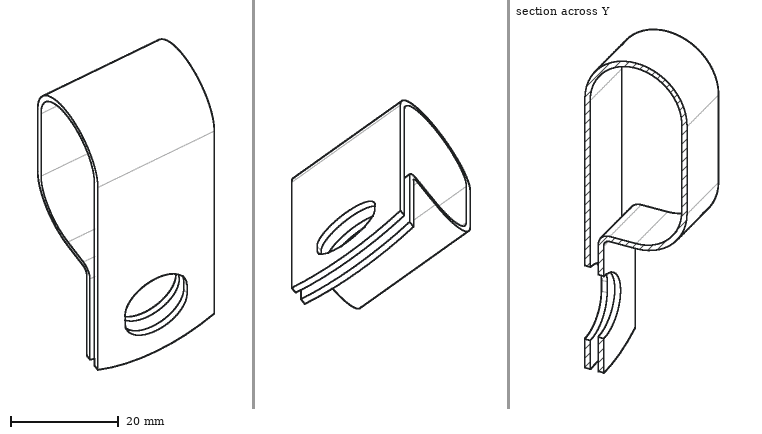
import cadquery as cq
import math

thickness = 1.22
strap_width = 25.4

loop_inner_width = 19.05
loop_straight = 19.05
overall_height = 69.47

leg_gap = 1.6
bend_inner_radius = 1.2
hole_diameter = 13.5
slot_length = 15.88
hole_to_tip = 14.3
tip_sagitta = 2.95

lower_arc_mid_angle = 225
bend_mid_angle = 45

inner_radius = loop_inner_width / 2
outer_radius = inner_radius + thickness
bend_outer_radius = bend_inner_radius + thickness
tip_z = outer_radius - overall_height
hole_z = tip_z + hole_to_tip
loop_floor_z = -loop_straight - inner_radius
loop_underside_z = loop_floor_z - thickness
short_leg_inner_x = inner_radius - leg_gap
short_leg_outer_x = short_leg_inner_x - thickness
bend_start_x = short_leg_inner_x - bend_outer_radius
bend_end_z = loop_floor_z - bend_outer_radius


def arc_point(center_x, center_z, radius, angle_degrees):
    """Point on a circle in the XZ plane, with the angle measured from +X towards +Z."""
    angle = math.radians(angle_degrees)
    return center_x + radius * math.cos(angle), center_z + radius * math.sin(angle)


def make_bent_strap():
    """Strap profile in XZ, traced along the outside and back along the inside."""
    profile = (
        cq.Workplane("XZ")
        .moveTo(outer_radius, tip_z)
        .lineTo(outer_radius, 0)
        .threePointArc((0, outer_radius), (-outer_radius, 0))
        .lineTo(-outer_radius, -loop_straight)
        .threePointArc(
            arc_point(0, -loop_straight, outer_radius, lower_arc_mid_angle),
            (0, loop_underside_z),
        )
        .lineTo(bend_start_x, loop_underside_z)
        .threePointArc(
            arc_point(bend_start_x, bend_end_z, bend_inner_radius, bend_mid_angle),
            (short_leg_outer_x, bend_end_z),
        )
        .lineTo(short_leg_outer_x, tip_z)
        .lineTo(short_leg_inner_x, tip_z)
        .lineTo(short_leg_inner_x, bend_end_z)
        .threePointArc(
            arc_point(bend_start_x, bend_end_z, bend_outer_radius, bend_mid_angle),
            (bend_start_x, loop_floor_z),
        )
        .lineTo(0, loop_floor_z)
        .threePointArc(
            arc_point(0, -loop_straight, inner_radius, lower_arc_mid_angle),
            (-inner_radius, -loop_straight),
        )
        .lineTo(-inner_radius, 0)
        .threePointArc((0, inner_radius), (inner_radius, 0))
        .lineTo(inner_radius, tip_z)
        .close()
    )
    return profile.extrude(strap_width / 2, both=True)


def make_side_outline():
    """Block with the strap's YZ outline: straight sides and a bowed tip."""
    half_width = strap_width / 2
    tip_corner_z = tip_z + tip_sagitta
    return (
        cq.Workplane("YZ")
        .moveTo(-half_width, outer_radius)
        .lineTo(-half_width, tip_corner_z)
        .threePointArc((0, tip_z), (half_width, tip_corner_z))
        .lineTo(half_width, outer_radius)
        .close()
        .extrude(outer_radius, both=True)
    )


def make_short_leg_hole():
    """Cylinder that passes through the short leg only."""
    return (
        cq.Workplane("YZ", origin=(short_leg_outer_x, 0, hole_z))
        .circle(hole_diameter / 2)
        .extrude(thickness)
    )


def make_long_leg_slot():
    """Upright slot through the long leg, as wide as the round hole and centred on it."""
    return (
        cq.Workplane("YZ", origin=(inner_radius, 0, hole_z))
        .slot2D(slot_length, hole_diameter, angle=90)
        .extrude(thickness)
    )


strap = make_bent_strap().intersect(make_side_outline())
result = strap.cut(make_short_leg_hole()).cut(make_long_leg_slot())